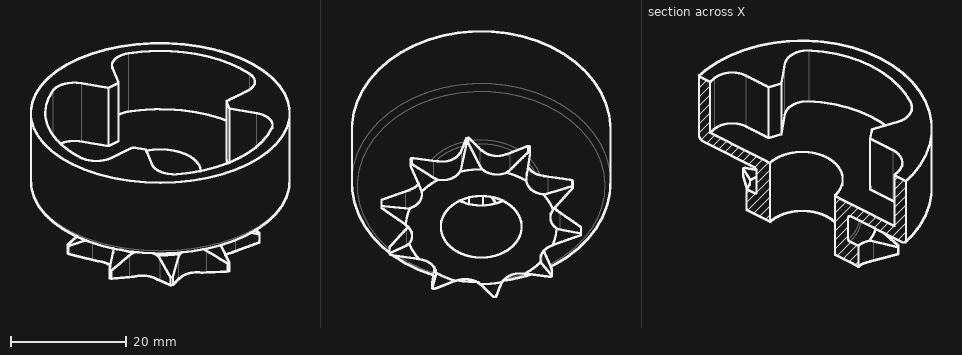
import cadquery as cq
import math

total_height = 26.0
sprocket_thickness = 5.0
cup_bottom = 11.0
cup_radius = 22.5
cup_edge_fillet = 1.0
hub_radius = 10.0
hub_top_fillet = 0.5
hub_bottom_fillet = 0.3
bore_radius = 7.0

pocket_depth = 12.0
pocket_radius = 20.0
pocket_corner_fillet = 4.0
finger_count = 3
finger_tip_distance = 12.0
finger_tip_width = 2.4
finger_half_angle = 30.0

tooth_count = 10
tip_radius = 17.6
tip_width = 0.4
tip_thickness = 1.65
bevel_start_radius = 13.1
pitch_radius = 15.52
tooth_seat_radius = 3.38


def polar(radius, angle):
    """Point at the given radius and angle (radians)."""
    return radius * math.cos(angle), radius * math.sin(angle)


def make_cup():
    cup = cq.Workplane("XY").workplane(offset=cup_bottom).circle(cup_radius)
    cup = cup.extrude(total_height - cup_bottom)
    return cup.faces("<Z").edges().fillet(cup_edge_fillet)


def make_hub():
    """Neck between sprocket and cup, flared by a concave fillet at each end."""
    top_flare = hub_radius + hub_top_fillet
    bottom_flare = hub_radius + hub_bottom_fillet
    arc_inset = 1 - math.sqrt(0.5)
    bottom_mid = hub_bottom_fillet * arc_inset
    top_mid = hub_top_fillet * arc_inset
    profile = (
        cq.Workplane("XZ")
        .lineTo(bottom_flare, 0)
        .lineTo(bottom_flare, sprocket_thickness)
        .threePointArc(
            (hub_radius + bottom_mid, sprocket_thickness + bottom_mid),
            (hub_radius, sprocket_thickness + hub_bottom_fillet),
        )
        .lineTo(hub_radius, cup_bottom - hub_top_fillet)
        .threePointArc((hub_radius + top_mid, cup_bottom - top_mid), (top_flare, cup_bottom))
        .lineTo(0, cup_bottom)
        .close()
    )
    return profile.revolve(360, (0, 0, 0), (0, 1, 0))


def make_finger():
    """Finger pointing at the axis from -X, widening outwards past the pocket wall."""
    half_tip = finger_tip_width / 2
    length = cup_radius - finger_tip_distance
    half_base = half_tip + length * math.tan(math.radians(finger_half_angle))
    outline = [
        (-finger_tip_distance, -half_tip),
        (-finger_tip_distance, half_tip),
        (-cup_radius, half_base),
        (-cup_radius, -half_base),
    ]
    return cq.Workplane("XY").polyline(outline).close().extrude(pocket_depth)


def make_pocket():
    pocket = cq.Workplane("XY").circle(pocket_radius).extrude(pocket_depth)
    for i in range(finger_count):
        finger = make_finger().rotate((0, 0, 0), (0, 0, 1), i * 360 / finger_count)
        pocket = pocket.cut(finger)
    tip_corner_radius = math.hypot(finger_tip_distance, finger_tip_width / 2)
    middle_radius = (tip_corner_radius + pocket_radius) / 2
    corners = pocket.edges("|Z").filter(
        lambda edge: math.hypot(edge.Center().x, edge.Center().y) > middle_radius
    )
    pocket = corners.fillet(pocket_corner_fillet)
    return pocket.translate((0, 0, total_height - pocket_depth))


def make_sprocket():
    """Double-bevelled disc with a rounded seat and straight flanks between teeth."""
    tip_bottom = (sprocket_thickness - tip_thickness) / 2
    half_section = [
        (0, 0),
        (bevel_start_radius, 0),
        (tip_radius, tip_bottom),
        (tip_radius, tip_bottom + tip_thickness),
        (bevel_start_radius, sprocket_thickness),
        (0, sprocket_thickness),
    ]
    disc = cq.Workplane("XZ").polyline(half_section).close().revolve(360, (0, 0, 0), (0, 1, 0))

    tip_angle = math.pi / tooth_count - math.asin(tip_width / 2 / tip_radius)
    tip_x, tip_y = polar(tip_radius, tip_angle)
    corner_distance = math.hypot(tip_x - pitch_radius, tip_y)
    corner_angle = math.atan2(tip_y, tip_x - pitch_radius)
    tangent_angle = corner_angle + math.acos(tooth_seat_radius / corner_distance)
    seat_x, seat_y = polar(tooth_seat_radius, tangent_angle)
    seat_x += pitch_radius
    outer_x = cup_radius
    outer_y = tip_y + (outer_x - tip_x) * (tip_y - seat_y) / (tip_x - seat_x)
    gap = (
        cq.Workplane("XY")
        .moveTo(outer_x, outer_y)
        .lineTo(seat_x, seat_y)
        .threePointArc((pitch_radius - tooth_seat_radius, 0), (seat_x, -seat_y))
        .lineTo(outer_x, -outer_y)
        .close()
        .extrude(sprocket_thickness)
    )
    for i in range(tooth_count):
        disc = disc.cut(gap.rotate((0, 0, 0), (0, 0, 1), (i + 0.5) * 360 / tooth_count))
    return disc


bore = cq.Workplane("XY").circle(bore_radius).extrude(total_height)
result = make_sprocket().union(make_hub()).union(make_cup()).cut(make_pocket()).cut(bore)